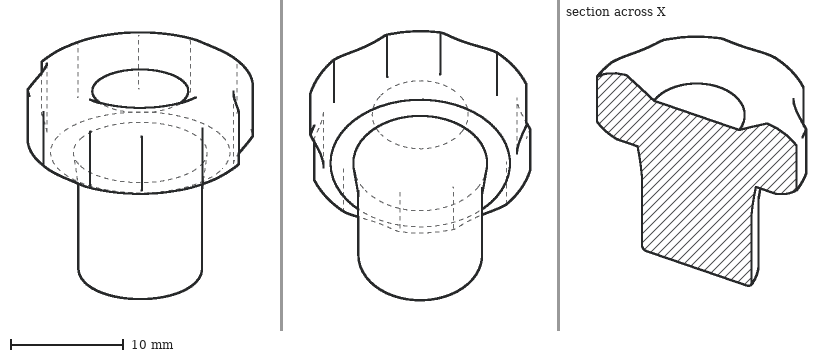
import cadquery as cq
import math

total_height = 20.0
head_bottom = 12.0
collar_bottom = 8.55

shank_radius = 5.5
collar_top_radius = 5.95
shank_end_round = 0.5

head_radius = 10.0
crown_inner_radius = 7.05
underside_radius = 7.95
grip_bottom = 13.28
grip_top = 18.58
crown_arc_radius = 4.4
underside_arc_radius = 4.0
edge_round = 0.15

scallop_count = 6
scallop_radius = 4.4
scallop_center_radius = 13.0

dish_floor_radius = 4.25
dish_depth = 1.9
dish_rim_round = 0.25


def bulge_point(start, end, radius):
    """Middle of the arc from start to end, bulging away from the head's center."""
    chord_r = end[0] - start[0]
    chord_z = end[1] - start[1]
    chord = math.hypot(chord_r, chord_z)
    rise = radius - math.sqrt(radius**2 - (chord / 2) ** 2)
    mid_r = (start[0] + end[0]) / 2
    mid_z = (start[1] + end[1]) / 2
    return (mid_r + rise * chord_z / chord, mid_z - rise * chord_r / chord)


def make_head():
    """Revolved grip with domed shoulders, scalloped and rounded at the edges."""
    under_inner = (underside_radius, head_bottom)
    under_outer = (head_radius, grip_bottom)
    crown_outer = (head_radius, grip_top)
    crown_inner = (crown_inner_radius, total_height)
    head = (
        cq.Workplane("XZ")
        .moveTo(0, head_bottom)
        .lineTo(*under_inner)
        .threePointArc(bulge_point(under_inner, under_outer, underside_arc_radius), under_outer)
        .lineTo(*crown_outer)
        .threePointArc(bulge_point(crown_outer, crown_inner, crown_arc_radius), crown_inner)
        .lineTo(0, total_height)
        .close()
        .revolve(360, (0, 0, 0), (0, 1, 0))
    )
    scallops = (
        cq.Workplane("XY")
        .polarArray(scallop_center_radius, 0, 360, scallop_count)
        .circle(scallop_radius)
        .extrude(total_height)
    )
    head = head.cut(scallops)
    side_zone = cq.selectors.BoxSelector(
        (-head_radius, -head_radius, grip_bottom),
        (head_radius, head_radius, grip_top),
    )
    return head.faces(side_zone).edges("not(|Z)").fillet(edge_round)


def make_shank():
    """Cylindrical shank widening through a conical collar up to the head."""
    shank = (
        cq.Workplane("XZ")
        .lineTo(shank_radius, 0)
        .lineTo(shank_radius, collar_bottom)
        .lineTo(collar_top_radius, head_bottom)
        .lineTo(0, head_bottom)
        .close()
        .revolve(360, (0, 0, 0), (0, 1, 0))
    )
    return shank.faces("<Z").edges().fillet(shank_end_round)


def cut_dish(body):
    """Conical dish with a flat floor and a rounded rim."""
    floor_height = total_height - dish_depth
    dish = (
        cq.Workplane("XZ")
        .moveTo(0, floor_height)
        .lineTo(dish_floor_radius, floor_height)
        .lineTo(crown_inner_radius, total_height)
        .lineTo(0, total_height)
        .close()
        .revolve(360, (0, 0, 0), (0, 1, 0))
    )
    dished = body.cut(dish)
    return dished.edges(">Z").fillet(dish_rim_round)


result = cut_dish(make_head().union(make_shank()))